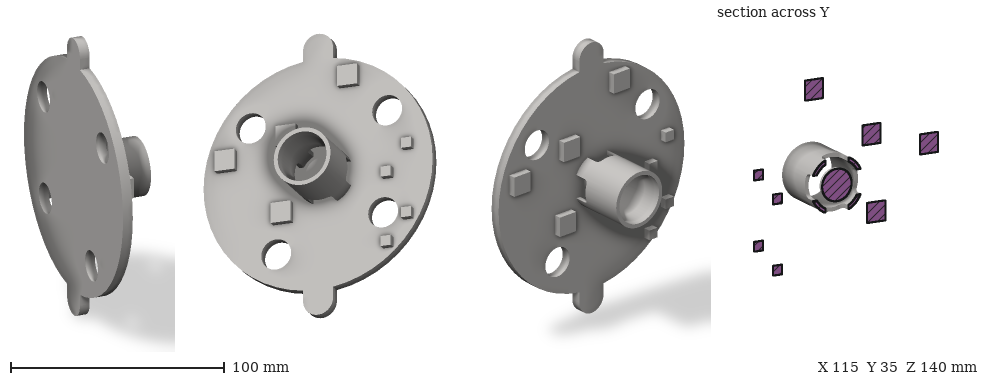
import cadquery as cq

plate_diameter = 115.0
plate_thickness = 5.0
overall_height = 140.0
tab_width = 15.0
hole_diameter = 15.0
hole_centers = [(-34.67, 27.34), (33.77, 27.34), (-32.66, -23.27), (21.02, -37.18)]

overall_depth = 35.0
socket_x = -3.6
socket_z = -1.7
socket_diameter = 28.5
socket_bore = 24.5
socket_length = overall_depth - plate_thickness
boss_diameter = 16.0
boss_height = 5.0
slot_width = 12.0
slot_height = 8.0
slot_corner_radius = 2.0

pad_height = 3.5
large_pad_size = 10.0
large_pad_centers = [(-15.85, 46.4), (15.0, 20.5), (45.7, 12.0), (17.5, -17.5)]
small_pad_size = 5.0
small_pad_centers = [(-45.4, 8.8), (-35.3, -4.2), (-45.4, -25.8), (-35.3, -38.8)]


def back_face_plane(x=0.0, z=0.0):
    """Plane on the back of the plate at (x, z): local x is X, local y is -Z, extrusion goes toward +Y."""
    return cq.Workplane(cq.Plane(origin=(x, plate_thickness, z), xDir=(1, 0, 0), normal=(0, 1, 0)))


def make_plate():
    """Disc with a round-ended tab at the top and bottom and four through holes."""
    disc = back_face_plane().circle(plate_diameter / 2).extrude(-plate_thickness)
    tabs = back_face_plane().slot2D(overall_height, tab_width, angle=90).extrude(-plate_thickness)
    plate = disc.union(tabs)
    for x, z in hole_centers:
        plate = plate.cut(back_face_plane(x, z).circle(hole_diameter / 2).extrude(-plate_thickness))
    return plate


def make_slot_cutter(x_size, z_size, rounded_axis):
    """Bar crossing the tube at its base, with the two edges away from the plate rounded."""
    bar = back_face_plane(socket_x, socket_z).rect(x_size, z_size).extrude(slot_height)
    return bar.faces(">Y").edges("|" + rounded_axis).fillet(slot_corner_radius)


def make_socket():
    """Tube with four slots at its base, and the boss standing inside it."""
    socket_plane = back_face_plane(socket_x, socket_z)
    tube = socket_plane.circle(socket_diameter / 2).circle(socket_bore / 2).extrude(socket_length)
    tube = tube.cut(make_slot_cutter(socket_diameter, slot_width, "X"))
    tube = tube.cut(make_slot_cutter(slot_width, socket_diameter, "Z"))
    boss = socket_plane.circle(boss_diameter / 2).extrude(boss_height)
    return tube, boss


def make_pad(x, z, size):
    """Square pad centered at (x, z) on the back of the plate."""
    return back_face_plane(x, z).rect(size, size).extrude(pad_height)


result = make_plate()
for socket_piece in make_socket():
    result = result.union(socket_piece)
for pad_x, pad_z in large_pad_centers:
    result = result.union(make_pad(pad_x, pad_z, large_pad_size))
for pad_x, pad_z in small_pad_centers:
    result = result.union(make_pad(pad_x, pad_z, small_pad_size))